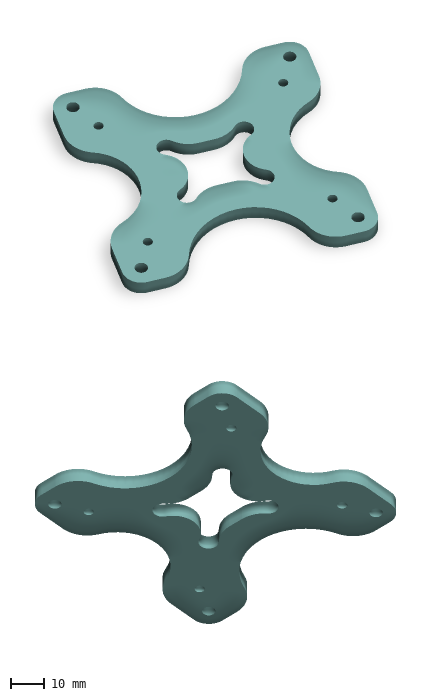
import cadquery as cq
import math

side = 80.0
thickness = 4.7
half = side / 2
corner_radius = 6.0

y_recess_radius = 16.0
x_recess_radius = 20.0
blend_radius = 10.0

corner_hole_offset = half - corner_radius
corner_hole_diameter = 4.0
inner_hole_x = 24.52
inner_hole_y = 29.0
inner_hole_diameter = 3.0

window_half_waist = 9.0
lobe_x = 10.2
lobe_y = 12.2
lobe_radius = 3.0
side_bulge_radius = 10.0


def point_between(start, end, distance):
    """Point at the given distance from start, heading toward end."""
    ratio = distance / math.dist(start, end)
    return (
        start[0] + (end[0] - start[0]) * ratio,
        start[1] + (end[1] - start[1]) * ratio,
    )


def arc_middle(center, radius, start, end):
    """Middle point of the shorter arc from start to end."""
    chord_middle = ((start[0] + end[0]) / 2, (start[1] + end[1]) / 2)
    return point_between(center, chord_middle, radius)


def mirrored_to_all_quadrants(x, y):
    return [(sx * x, sy * y) for sx in (1, -1) for sy in (1, -1)]


def edge_recess(radius):
    """Cutter for a recess in the +Y edge, with rounded shoulders tangent to that edge."""
    shoulder_x = math.sqrt((radius + blend_radius) ** 2 - blend_radius**2)
    recess_center = (0, half)
    shoulder_center = (shoulder_x, half - blend_radius)
    edge_point = (shoulder_x, half)
    tangent_point = point_between(recess_center, shoulder_center, radius)
    shoulder_middle = arc_middle(shoulder_center, blend_radius, edge_point, tangent_point)
    return (
        cq.Workplane("XY")
        .moveTo(*edge_point)
        .threePointArc(shoulder_middle, tangent_point)
        .threePointArc((0, half - radius), (-tangent_point[0], tangent_point[1]))
        .threePointArc((-shoulder_middle[0], shoulder_middle[1]), (-shoulder_x, half))
        .close()
        .extrude(thickness)
    )


def window_quadrant():
    """The +X +Y quarter of the window, with every arc tangent to the next."""
    lobe_center = (lobe_x, lobe_y)

    lobe_rise = lobe_y - window_half_waist
    top_bulge_radius = (lobe_x**2 + lobe_rise**2 - lobe_radius**2) / (2 * (lobe_rise + lobe_radius))
    top_center = (0, window_half_waist + top_bulge_radius)
    top_start = (0, window_half_waist)
    top_tangent = point_between(lobe_center, top_center, lobe_radius)

    side_center_x = window_half_waist + side_bulge_radius
    center_gap_x = side_center_x - lobe_x
    straight_half = lobe_y - math.sqrt((side_bulge_radius + lobe_radius) ** 2 - center_gap_x**2)
    side_center = (side_center_x, straight_half)
    side_start = (window_half_waist, straight_half)
    side_tangent = point_between(lobe_center, side_center, lobe_radius)

    lobe_tip = point_between(lobe_center, (2 * lobe_x, 2 * lobe_y), lobe_radius)
    return (
        cq.Workplane("XY")
        .lineTo(window_half_waist, 0)
        .lineTo(*side_start)
        .threePointArc(arc_middle(side_center, side_bulge_radius, side_start, side_tangent), side_tangent)
        .threePointArc(lobe_tip, top_tangent)
        .threePointArc(arc_middle(top_center, top_bulge_radius, top_tangent, top_start), top_start)
        .close()
        .extrude(thickness)
    )


def window():
    right_half = window_quadrant()
    right_half = right_half.union(right_half.mirror("XZ"))
    return right_half.union(right_half.mirror("YZ")).clean()


def hole_set(x, y, diameter):
    return (
        cq.Workplane("XY")
        .pushPoints(mirrored_to_all_quadrants(x, y))
        .circle(diameter / 2)
        .extrude(thickness)
    )


plate = (
    cq.Workplane("XY")
    .rect(side, side)
    .extrude(thickness)
    .edges("|Z")
    .fillet(corner_radius)
)

for recess_radius, first_angle in ((y_recess_radius, 0), (x_recess_radius, 90)):
    for angle in (first_angle, first_angle + 180):
        plate = plate.cut(edge_recess(recess_radius).rotate((0, 0, 0), (0, 0, 1), angle))

plate = plate.cut(window())
plate = plate.cut(hole_set(corner_hole_offset, corner_hole_offset, corner_hole_diameter))
plate = plate.cut(hole_set(inner_hole_x, inner_hole_y, inner_hole_diameter))

result = plate